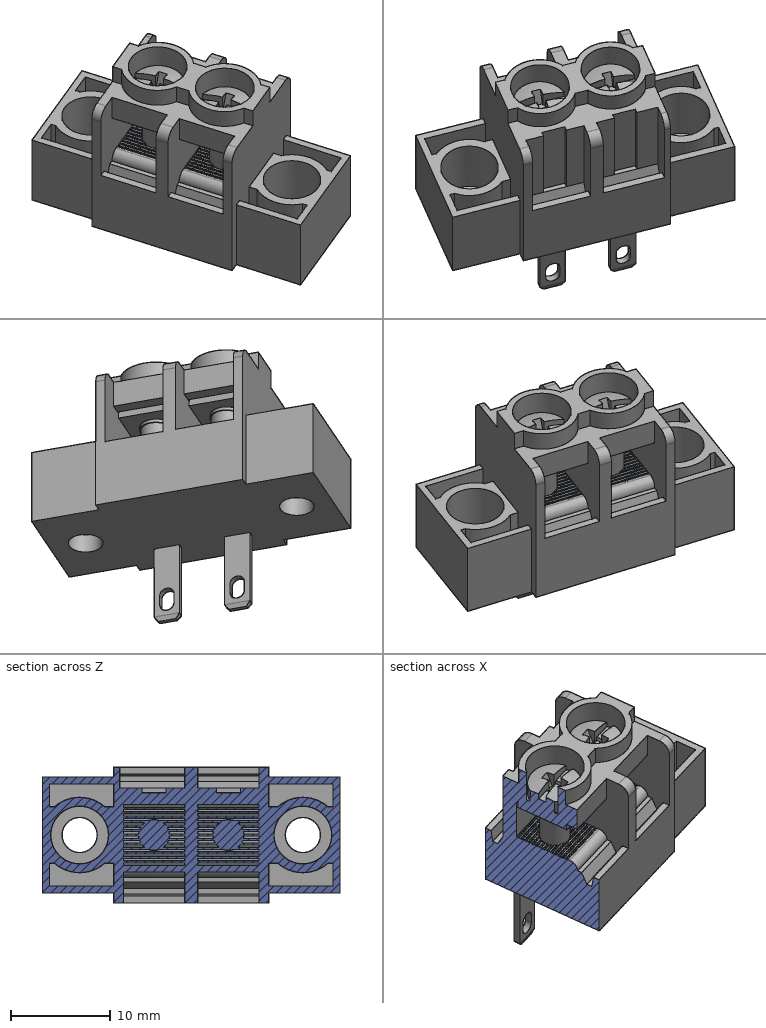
import cadquery as cq

BODY_WIDTH = 15.65
BODY_DEPTH = 13.7
BODY_TOP = 15.63
TOP_FILLET = 1.2
TERMINAL_PITCH = 7.5
TERMINAL_XS = (-TERMINAL_PITCH / 2, TERMINAL_PITCH / 2)

COLLAR_RADIUS = 3.65
COLLAR_BAR_DEPTH = 4.0
COLLAR_HEIGHT = 1.98
COLLAR_OVERLAP = 0.3
COLLAR_TOP = BODY_TOP + COLLAR_HEIGHT

EAR_SPAN = 30.0
EAR_DEPTH = 11.7
EAR_HEIGHT = 8.07
EAR_WALL = 0.72
EAR_FLOOR = 2.0
EAR_PITCH = 22.5
EAR_HOLE_DIAMETER = 3.5
EAR_BORE_DIAMETER = 5.8
EAR_RING_RADIUS = 3.8
EAR_WEB_DEPTH = 5.7

BAY_WIDTH = 6.15
CORNER_BAY_EXTRA = 0.35
LIP_WIDTH = 0.72
LIP_TOP = 7.23
GROOVE_START = 0.9
GROOVE_END = 1.47
GROOVE_FLOOR = 5.82
STEP_START = 2.1
STEP_TOP = 7.1
FRONT_BAY_DEPTH = 2.65
BUMP_START = 2.58
BUMP_RADIUS = 0.95
NOTCH_WIDTH = 2.4
NOTCH_DEPTH = 0.48

PLATE_TOP = STEP_TOP + BUMP_RADIUS
CHAMBER_TOP = 12.85
CHAMBER_BACK_Y = 3.05
SERRATION_PITCH = 0.45
SERRATION_WIDTH = 0.2
SERRATION_DEPTH = 0.12
SERRATION_COUNT = 14

WASHER_SIZE = 5.95
WASHER_THICKNESS = 0.72
NECK_DIAMETER = 3.3
NECK_LENGTH = 0.35
SHANK_DIAMETER = 3.12
SCREW_WELL_DIAMETER = 5.9
SCREW_WELL_FLOOR = 13.8
HEAD_DIAMETER = 5.5
HEAD_RIM = 15.3
HEAD_CROWN = 15.85
SLOT_WIDTH = 0.85
SLOT_FLOOR = 14.73
CROSS_WIDTH = 0.93
CROSS_LENGTH = 2.6
CROSS_BOTTOM_LENGTH = 1.25
CROSS_BOTTOM = 14.2

PIN_WIDTH = 2.7
PIN_THICKNESS = 0.72
PIN_Y = 3.7
PIN_LENGTH = 8.5
TIP_LENGTH = 0.55
TIP_WIDTH = 1.85
TIP_THICKNESS = 0.45
EYE_WIDTH = 1.5
EYE_LENGTH = 2.55
EYE_Z = -6.12


def block(x, y, z_range, size_x, size_y):
    """Upright block centred on (x, y) between two heights."""
    bottom, top = z_range
    return cq.Workplane("XY", origin=(x, y, bottom)).rect(size_x, size_y).extrude(top - bottom)


def cylinder(x, y, z_range, diameter):
    """Upright cylinder centred on (x, y) between two heights."""
    bottom, top = z_range
    return cq.Workplane("XY", origin=(x, y, bottom)).circle(diameter / 2).extrude(top - bottom)


def make_housing():
    housing = block(0, 0, (0, BODY_TOP), BODY_WIDTH, BODY_DEPTH)
    housing = housing.faces(">Z").edges("|X").fillet(TOP_FILLET)
    collar_range = (BODY_TOP - COLLAR_OVERLAP, COLLAR_TOP)
    housing = housing.union(block(0, 0, collar_range, BODY_WIDTH, COLLAR_BAR_DEPTH))
    for x in TERMINAL_XS:
        housing = housing.union(cylinder(x, 0, collar_range, 2 * COLLAR_RADIUS))
    return housing


def make_ears():
    """Both ears: open pockets beside a bored ring held by a straight web."""
    ears = block(0, 0, (0, EAR_HEIGHT), EAR_SPAN, EAR_DEPTH)
    pocket_range = (EAR_FLOOR, EAR_HEIGHT)
    pockets = block(0, 0, pocket_range, EAR_SPAN - 2 * EAR_WALL, EAR_DEPTH - 2 * EAR_WALL)
    pockets = pockets.cut(block(0, 0, pocket_range, EAR_SPAN, EAR_WEB_DEPTH))
    for x in (-EAR_PITCH / 2, EAR_PITCH / 2):
        pockets = pockets.cut(cylinder(x, 0, pocket_range, 2 * EAR_RING_RADIUS))
        ears = ears.cut(cylinder(x, 0, pocket_range, EAR_BORE_DIAMETER))
        ears = ears.cut(cylinder(x, 0, (0, EAR_HEIGHT), EAR_HOLE_DIAMETER))
    return ears.cut(pockets)


def bay_floor(left, outer_y, inward):
    """Start a bay section at the open top and follow lip, groove and slope up to the step."""
    return (
        cq.Workplane("YZ", origin=(left, 0, 0))
        .moveTo(outer_y, BODY_TOP)
        .lineTo(outer_y, LIP_TOP)
        .lineTo(outer_y + inward * LIP_WIDTH, LIP_TOP)
        .lineTo(outer_y + inward * GROOVE_START, GROOVE_FLOOR)
        .lineTo(outer_y + inward * GROOVE_END, GROOVE_FLOOR)
        .lineTo(outer_y + inward * STEP_START, STEP_TOP)
    )


def front_bay(x):
    """Front bay and the clamping chamber that opens from it under the housing wall."""
    outer_y = -BODY_DEPTH / 2
    wall_y = outer_y + FRONT_BAY_DEPTH
    bump_y = outer_y + BUMP_START
    return (
        bay_floor(x - BAY_WIDTH / 2, outer_y, 1)
        .lineTo(bump_y, STEP_TOP)
        .radiusArc((bump_y + BUMP_RADIUS, PLATE_TOP), BUMP_RADIUS)
        .lineTo(CHAMBER_BACK_Y, PLATE_TOP)
        .lineTo(CHAMBER_BACK_Y, CHAMBER_TOP)
        .lineTo(wall_y, CHAMBER_TOP)
        .lineTo(wall_y, BODY_TOP)
        .close()
        .extrude(BAY_WIDTH)
    )


def back_bay(x, extra_width):
    """Back bay, widened toward -X by extra_width, with a shallow notch in its inner wall."""
    outer_y = BODY_DEPTH / 2
    wall_y = outer_y - STEP_START
    bay = (
        bay_floor(x - BAY_WIDTH / 2 - extra_width, outer_y, -1)
        .lineTo(wall_y, BODY_TOP)
        .close()
        .extrude(BAY_WIDTH + extra_width)
    )
    return bay.union(block(x, wall_y, (STEP_TOP, BODY_TOP), NOTCH_WIDTH, 2 * NOTCH_DEPTH))


def serrations(x):
    """Grooves across the clamping plate, centred under the screw."""
    first_y = -SERRATION_PITCH * (SERRATION_COUNT - 1) / 2
    return (
        cq.Workplane("XY", origin=(x, 0, PLATE_TOP - SERRATION_DEPTH))
        .pushPoints([(0, first_y + i * SERRATION_PITCH) for i in range(SERRATION_COUNT)])
        .rect(BAY_WIDTH, SERRATION_WIDTH)
        .extrude(SERRATION_DEPTH)
    )


def cross_recess(x, plane, width):
    """One bar of the cross recess, tapering in length toward its bottom."""
    half_top = CROSS_LENGTH / 2
    half_bottom = CROSS_BOTTOM_LENGTH / 2
    return (
        cq.Workplane(plane, origin=(x, 0, 0))
        .polyline([
            (-half_bottom, CROSS_BOTTOM),
            (half_bottom, CROSS_BOTTOM),
            (half_top, HEAD_CROWN),
            (-half_top, HEAD_CROWN),
        ])
        .close()
        .extrude(width / 2, both=True)
    )


def screw_head(x):
    """Domed head with a full-width slot and a cross recess."""
    radius = HEAD_DIAMETER / 2
    rise = HEAD_CROWN - HEAD_RIM
    dome_radius = (radius**2 + rise**2) / (2 * rise)
    head = (
        cq.Workplane("XZ", origin=(x, 0, 0))
        .moveTo(0, SCREW_WELL_FLOOR)
        .lineTo(radius, SCREW_WELL_FLOOR)
        .lineTo(radius, HEAD_RIM)
        .radiusArc((0, HEAD_CROWN), -dome_radius)
        .close()
        .revolve(360, (0, 0, 0), (0, 1, 0))
    )
    head = head.cut(block(x, 0, (SLOT_FLOOR, HEAD_CROWN), HEAD_DIAMETER, SLOT_WIDTH))
    return head.cut(cross_recess(x, "XZ", SLOT_WIDTH)).cut(cross_recess(x, "YZ", CROSS_WIDTH))


def clamp(x):
    """Square washer, neck and shank standing in the clamping chamber."""
    washer_bottom = CHAMBER_TOP - WASHER_THICKNESS
    neck_bottom = washer_bottom - NECK_LENGTH
    washer = block(x, 0, (washer_bottom, CHAMBER_TOP), WASHER_SIZE, WASHER_SIZE)
    neck = cylinder(x, 0, (neck_bottom, washer_bottom), NECK_DIAMETER)
    shank = cylinder(x, 0, (PLATE_TOP - SERRATION_DEPTH, neck_bottom), SHANK_DIAMETER)
    return washer.union(neck).union(shank)


def solder_pin(x):
    """Flat pin with a tapered tip and an oblong eye."""
    shoulder_z = TIP_LENGTH - PIN_LENGTH
    pin = block(x, PIN_Y, (shoulder_z, 0), PIN_WIDTH, PIN_THICKNESS)
    tip = (
        cq.Workplane("XY", origin=(x, PIN_Y, -PIN_LENGTH))
        .rect(TIP_WIDTH, TIP_THICKNESS)
        .workplane(offset=TIP_LENGTH)
        .rect(PIN_WIDTH, PIN_THICKNESS)
        .loft(ruled=True)
    )
    eye = (
        cq.Workplane("XZ", origin=(x, PIN_Y, EYE_Z))
        .slot2D(EYE_LENGTH, EYE_WIDTH, 90)
        .extrude(PIN_THICKNESS, both=True)
    )
    return pin.union(tip).cut(eye)


ears = make_ears().cut(block(0, 0, (0, EAR_HEIGHT), BODY_WIDTH, BODY_DEPTH))
result = make_housing().union(ears)

for x in TERMINAL_XS:
    extra_width = CORNER_BAY_EXTRA if x == TERMINAL_XS[0] else 0
    result = result.cut(front_bay(x)).cut(back_bay(x, extra_width)).cut(serrations(x))
    result = result.cut(cylinder(x, 0, (SCREW_WELL_FLOOR, COLLAR_TOP), SCREW_WELL_DIAMETER))
    result = result.union(screw_head(x)).union(clamp(x)).union(solder_pin(x))